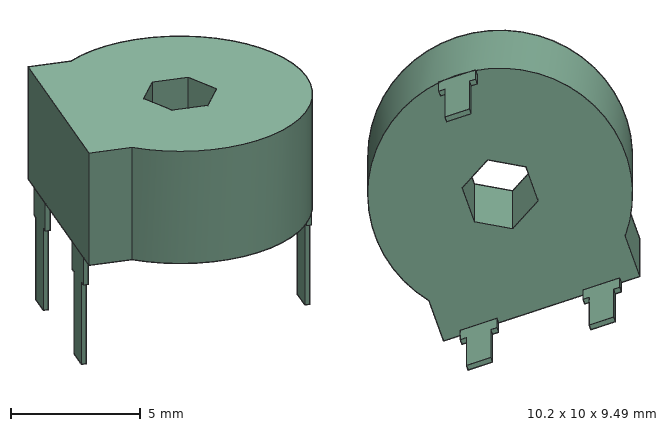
import cadquery as cq
import math

drum_radius = 5.1
housing_height = 4.8
front_width = 8.0
front_y = -4.9

hex_half_width = 1.3
hex_side_length = 1.45
hex_corner_y = 1.47

pin_length = 4.69
pin_thickness = 0.2
shoulder_width = 1.5
shoulder_length = 1.18
leg_width = 1.0
pin_pitch = 2.5

rear_face_y = 5.07
rear_pin_y = rear_face_y - pin_thickness

pin_places = [
    (-pin_pitch, front_y),
    (0, rear_pin_y),
    (pin_pitch, front_y),
]


def make_hex_hole():
    """Six-sided prism through the full height of the housing."""
    half_side = hex_side_length / 2
    corners = [
        (0, hex_corner_y),
        (hex_half_width, half_side),
        (hex_half_width, -half_side),
        (0, -hex_corner_y),
        (-hex_half_width, -half_side),
        (-hex_half_width, half_side),
    ]
    return cq.Workplane("XY").polyline(corners).close().extrude(housing_height)


def make_housing():
    """Drum outline with a flat front, pierced by a hexagonal drive hole."""
    half_front = front_width / 2
    corner_y = -math.sqrt(drum_radius**2 - half_front**2)
    body = (
        cq.Workplane("XY")
        .moveTo(-half_front, front_y)
        .lineTo(half_front, front_y)
        .lineTo(half_front, corner_y)
        .threePointArc((0, drum_radius), (-half_front, corner_y))
        .close()
        .extrude(housing_height)
    )
    return body.cut(make_hex_hole())


def make_pin(x, y):
    """Wide shoulder against the housing underside, stepping to a narrow leg."""
    shoulder = cq.Workplane("XY").box(
        shoulder_width, pin_thickness, shoulder_length, centered=(True, False, False)
    )
    leg = cq.Workplane("XY").box(
        leg_width, pin_thickness, pin_length, centered=(True, False, False)
    )
    shoulder = shoulder.translate((x, y, -shoulder_length))
    leg = leg.translate((x, y, -pin_length))
    return shoulder.union(leg)


housing = make_housing()
pins = [make_pin(x, y) for x, y in pin_places]

result = cq.Compound.makeCompound([housing.solids().val(), *[pin.solids().val() for pin in pins]])